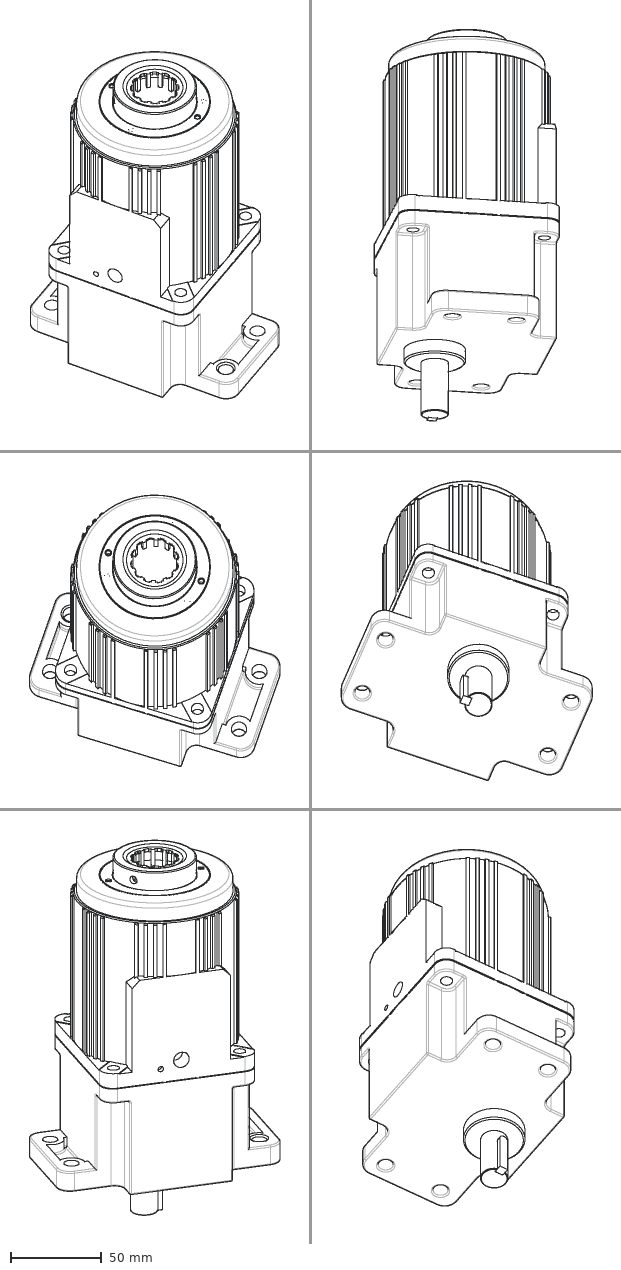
import cadquery as cq
import math


overall_height = 219.0
frame_width = 90.0
frame_half = frame_width / 2
corner_radius = 7.9
bolt_offset = 36.8
bolt_hole_diameter = 6.5

gearhead_height = 64.5
flange_underside = 56.0
arm_half_width = 30.0
notch_radius = 6.0
notch_rim_radius = 0.9
bottom_radius = 0.9
notch_top_radius = 1.0

foot_length = 130.0
foot_thickness = 11.8
foot_corner_radius = 7.9
foot_top_radius = 0.9
foot_hole_x = 54.8
foot_hole_y = 18.0
foot_hole_diameter = 8.3
countersink_diameter = 10.3
countersink_angle = 90
pocket_outer_x = 59.1
pocket_depth = 6.0
pocket_floor_radius = 0.9
hole_wall_radius = 7.7

shaft_y = 18.0
boss_diameter = 34.0
boss_length = 7.7
boss_chamfer = 0.9
shaft_diameter = 15.1
shaft_length = 38.0
shaft_chamfer = 0.5

key_width = 5.0
key_height = 5.0
key_length = 25.0
key_outer_x = 9.9

motor_flange_top = 73.4
lug_height = 0.5
lug_width = 12.3
joint_chamfer = 0.5
barrel_top = 160.0
barrel_chamfer = 0.7
rib_outer_radius = 46.5
rib_width = 2.0
rib_first_angle = 12.1
rib_pitch_angle = 6.6
ribs_per_group = 4
rib_top_gap = 0.7
rib_chamfer = 0.7

cap_diameter = 86.3
cap_top = 170.0
cap_fillet = 2.2

box_half_width = 28.7
box_top = 127.7
box_corner_chamfer = 4.4
cable_hole_diameter = 9.0
cable_hole_z = 76.9
cable_hole_depth = 11.0
earth_hole_diameter = 3.0
earth_hole_x = -12.0
earth_hole_z = 73.0
earth_hole_depth = 3.3

hub_diameter = 46.0
hub_top = overall_height - shaft_length
hub_chamfer = 0.7
hub_mouth_diameter = 35.0
hub_mouth_chamfer = 2.0
hub_mouth_depth = 1.0
hub_bore_diameter = 25.8
hub_lip = 1.8
lip_slot_width = 2.2
lip_slot_radius = 13.4
cavity_diameter = 40.3
cavity_depth = 11.0
bar_count = 12
bar_width = 2.2
bar_inner_radius = 12.0
bar_depth = 1.8
set_screw_diameter = 4.4
set_screw_angle = 220
set_screw_z = 174.8

ring_outer_diameter = 60.5
ring_inner_diameter = 46.9
ring_thickness = 0.7
ring_gap = 0.5
pin_circle_radius = 27.0
ring_hole_diameter = 3.5
ring_screw_diameter = 2.6
pin_diameter = 3.0
pin_hole_depth = 4.4
screw_angles = (0, 180)
pin_angles = (30, 150, 270)


def cylinder(diameter, bottom, top):
    return cq.Workplane("XY").workplane(offset=bottom).circle(diameter / 2).extrude(top - bottom)


def block(x_size, y_size, bottom, top):
    return cq.Workplane("XY").workplane(offset=bottom).rect(x_size, y_size).extrude(top - bottom)


def polar_points(radius, angles):
    return [
        (radius * math.cos(math.radians(angle)), radius * math.sin(math.radians(angle)))
        for angle in angles
    ]


def square_flange(bottom, top):
    """Square plate with rounded corners and a bolt hole in each."""
    plate = block(frame_width, frame_width, bottom, top).edges("|Z").fillet(corner_radius)
    return bolt_holes_cut(plate, bottom, top)


def bolt_holes_cut(body, bottom, top):
    holes = (
        cq.Workplane("XY").workplane(offset=bottom)
        .rect(2 * bolt_offset, 2 * bolt_offset, forConstruction=True)
        .vertices().circle(bolt_hole_diameter / 2).extrude(top - bottom)
    )
    return body.cut(holes)


def make_key():
    """Key with a half-round upper end and a square lower end, flush with the shaft end."""
    inner_x = key_outer_x - key_height
    bottom = -shaft_length
    straight_top = bottom + key_length - key_width / 2
    return (
        cq.Workplane("YZ").workplane(offset=inner_x)
        .moveTo(shaft_y - key_width / 2, bottom)
        .lineTo(shaft_y + key_width / 2, bottom)
        .lineTo(shaft_y + key_width / 2, straight_top)
        .threePointArc((shaft_y, bottom + key_length), (shaft_y - key_width / 2, straight_top))
        .close().extrude(key_height)
    )


def foot_pockets():
    """Shallow pocket between the two bolt holes of each foot, leaving a round wall about each hole."""
    pocket_length = pocket_outer_x - frame_half
    pockets = (
        cq.Workplane("XY").workplane(offset=foot_thickness - pocket_depth)
        .pushPoints([(side * (frame_half + pocket_length / 2), 0) for side in (-1, 1)])
        .rect(pocket_length, 2 * foot_hole_y).extrude(pocket_depth)
    )
    walls = (
        cq.Workplane("XY")
        .rect(2 * foot_hole_x, 2 * foot_hole_y, forConstruction=True)
        .vertices().circle(hole_wall_radius).extrude(foot_thickness)
    )
    return pockets.cut(walls).faces("<Z").edges().fillet(pocket_floor_radius)


def make_foot():
    """Foot plate reaching out on both X sides, with one of its four holes countersunk."""
    foot = (
        block(foot_length, 2 * arm_half_width, 0, foot_thickness)
        .edges("|Z").fillet(foot_corner_radius)
        .faces(">Z").edges().fillet(foot_top_radius)
    )
    foot = (
        foot.faces(">Z").workplane(origin=(0, 0, foot_thickness))
        .rect(2 * foot_hole_x, 2 * foot_hole_y, forConstruction=True)
        .vertices().hole(foot_hole_diameter)
    )
    foot = (
        foot.faces(">Z").workplane(origin=(0, 0, foot_thickness))
        .pushPoints([(foot_hole_x, -foot_hole_y)])
        .cskHole(foot_hole_diameter, countersink_diameter, countersink_angle)
    )
    return foot.cut(foot_pockets())


def corner_notch():
    """Cutter for one corner of the case, rounded up its inner edge and around its top."""
    notch_size = frame_half - arm_half_width + corner_radius
    return (
        block(notch_size, notch_size, 0, flange_underside)
        .edges("|Z and <X and <Y").fillet(notch_radius)
        .faces(">Z").edges().fillet(notch_top_radius)
        .translate((arm_half_width + notch_size / 2, arm_half_width + notch_size / 2, 0))
    )


def make_gear_case():
    """Square column with a notch up each corner that stops below the flange."""
    case = square_flange(0, gearhead_height)
    notch = corner_notch()
    below_flange = cq.selectors.BoxSelector(
        (-frame_width, -frame_width, 0),
        (frame_width, frame_width, flange_underside),
    )
    for quarter in (0, 90, 180, 270):
        case = case.cut(notch.rotate((0, 0, 0), (0, 0, 1), quarter))
    for side in ("<Y", ">Y"):
        case = case.faces(side).edges("|Z").edges(below_flange).fillet(notch_rim_radius)
    return case


def make_output_shaft():
    boss = cylinder(boss_diameter, -boss_length, 0).faces("<Z").edges().chamfer(boss_chamfer)
    shaft = cylinder(shaft_diameter, -shaft_length, 0).faces("<Z").edges().chamfer(shaft_chamfer)
    return boss.union(shaft).translate((0, shaft_y, 0))


def make_gearhead(key):
    gearhead = make_gear_case().union(make_foot())
    gearhead = gearhead.faces("<Z").edges().fillet(bottom_radius)
    return gearhead.union(make_output_shaft()).cut(key)


def motor_flange():
    """Square flange with a slightly raised lug on each corner."""
    flange = square_flange(gearhead_height, motor_flange_top)
    outline = square_flange(motor_flange_top, motor_flange_top + lug_height)
    for angle in (45, 135):
        strip = block(2 * frame_width, lug_width, motor_flange_top, motor_flange_top + lug_height)
        strip = strip.rotate((0, 0, 0), (0, 0, 1), angle)
        flange = flange.union(strip.intersect(outline))
    return flange.faces("<Z").edges("not %CIRCLE").chamfer(joint_chamfer)


def barrel():
    """Round barrel with groups of upright ribs, trimmed to the square frame."""
    body = cylinder(frame_width, gearhead_height, barrel_top).faces(">Z").edges().chamfer(barrel_chamfer)
    rib_angles = [
        quarter + side * (rib_first_angle + rib_pitch_angle * index)
        for quarter in (0, 90, 180, 270)
        for side in (-1, 1)
        for index in range(ribs_per_group)
    ]
    rib_top = barrel_top - rib_top_gap
    rib_limit = cylinder(2 * rib_outer_radius, gearhead_height, rib_top)
    rib_limit = rib_limit.faces(">Z").edges().chamfer(rib_chamfer)
    rib = (
        block(2 * rib_outer_radius, rib_width, gearhead_height, rib_top)
        .translate((rib_outer_radius, 0, 0))
        .intersect(rib_limit)
    )
    for angle in rib_angles:
        body = body.union(rib.rotate((0, 0, 0), (0, 0, 1), angle))
    return body.intersect(block(frame_width, frame_width, gearhead_height, barrel_top))


def terminal_box():
    """Block on the -Y side of the barrel, flush with the front of the flange."""
    return (
        block(2 * box_half_width, frame_half, gearhead_height + joint_chamfer, box_top)
        .translate((0, -frame_half / 2, 0))
        .faces(">Z").edges("|Y").chamfer(box_corner_chamfer)
    )


def face_hole(diameter, x, z, depth):
    """Blind round hole going into the front of the terminal box."""
    return (
        cq.Workplane("XZ", origin=(x, -frame_half, z))
        .circle(diameter / 2).extrude(-depth)
    )


def hub_bore():
    """Bore of the hub: flared mouth, slotted lip, and a wider cavity with a ring of upright bars."""
    mouth_floor = hub_top - hub_mouth_depth
    floor = hub_top - cavity_depth
    bore = (
        cq.Workplane("XZ")
        .polyline([
            (0, floor),
            (cavity_diameter / 2, floor),
            (cavity_diameter / 2, mouth_floor - hub_lip),
            (hub_bore_diameter / 2, mouth_floor - hub_lip),
            (hub_bore_diameter / 2, mouth_floor),
            (hub_mouth_diameter / 2 - hub_mouth_chamfer, mouth_floor),
            (hub_mouth_diameter / 2, hub_top),
            (0, hub_top),
        ])
        .close().revolve(360, (0, 0, 0), (0, 1, 0))
    )
    slot = (
        block(lip_slot_radius, lip_slot_width, mouth_floor - hub_lip, mouth_floor)
        .translate((lip_slot_radius / 2, 0, 0))
    )
    bar = (
        block(bar_depth, bar_width, floor, mouth_floor)
        .translate((bar_inner_radius + bar_depth / 2, 0, 0))
    )
    bar_pitch = 360 / bar_count
    for index in range(bar_count):
        bore = bore.union(slot.rotate((0, 0, 0), (0, 0, 1), index * bar_pitch))
        bore = bore.cut(bar.rotate((0, 0, 0), (0, 0, 1), (index + 0.5) * bar_pitch))
    return bore


def set_screw_hole():
    """Radial hole through the hub wall, from the cavity outward."""
    start = (cavity_diameter - set_screw_diameter) / 2
    return (
        cq.Workplane("YZ", origin=(start, 0, set_screw_z))
        .circle(set_screw_diameter / 2).extrude(hub_diameter / 2 - start)
        .rotate((0, 0, 0), (0, 0, 1), set_screw_angle)
    )


def ring_seat():
    """Recess for the ring plate, with a gap about its rim and about the hub, and the holes below it."""
    seat_floor = cap_top - ring_thickness
    seat = cylinder(ring_outer_diameter + 2 * ring_gap, seat_floor, cap_top)
    seat = seat.cut(cylinder(hub_diameter, seat_floor, cap_top))
    for diameter, angles in ((pin_diameter, pin_angles), (ring_screw_diameter, screw_angles)):
        holes = (
            cq.Workplane("XY").workplane(offset=seat_floor - pin_hole_depth)
            .pushPoints(polar_points(pin_circle_radius, angles))
            .circle(diameter / 2).extrude(pin_hole_depth)
        )
        seat = seat.union(holes)
    return seat


def make_motor():
    cap = cylinder(cap_diameter, barrel_top, cap_top).faces(">Z").edges().fillet(cap_fillet)
    hub = cylinder(hub_diameter, barrel_top, hub_top).faces(">Z").edges().chamfer(hub_chamfer)
    motor = motor_flange().union(barrel()).union(terminal_box()).union(cap).union(hub)
    motor = motor.cut(hub_bore()).cut(set_screw_hole()).cut(ring_seat())
    motor = motor.cut(face_hole(cable_hole_diameter, 0, cable_hole_z, cable_hole_depth))
    motor = motor.cut(face_hole(earth_hole_diameter, earth_hole_x, earth_hole_z, earth_hole_depth))
    return bolt_holes_cut(motor, gearhead_height, motor_flange_top + lug_height)


def make_ring_plate():
    return (
        cq.Workplane("XY").workplane(offset=cap_top - ring_thickness)
        .circle(ring_outer_diameter / 2).circle(ring_inner_diameter / 2)
        .pushPoints(polar_points(pin_circle_radius, screw_angles))
        .circle(ring_hole_diameter / 2)
        .extrude(ring_thickness)
    )


key = make_key()
gearhead = make_gearhead(key)
motor = make_motor()
ring_plate = make_ring_plate()

result = cq.Compound.makeCompound([gearhead.val(), key.val(), motor.val(), ring_plate.val()])